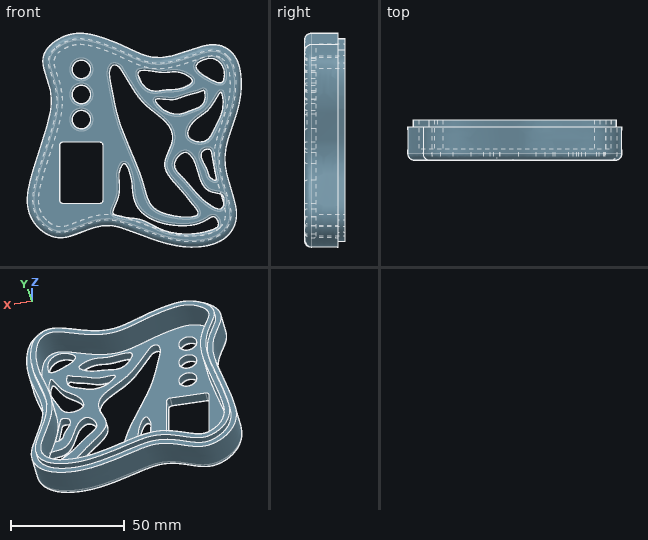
import cadquery as cq

total_depth = 17.8
lip_height = 3.0
body_depth = total_depth - lip_height
plate_thickness = 5.0
wall_thickness = 4.9
lip_inset = wall_thickness / 2
front_edge_radius = 3.0
opening_edge_radius = 1.0

inset_point_count = 60

column_x = -23.2
hole_diameter = 8.0
hole_pitch = 11.0
middle_hole_z = 20.1
window_width = 19.0
window_height = 27.0
window_corner_radius = 1.5
window_center_z = -14.3

case_outline = [
    (-12.55, 44.7), (-1.4, 40.0), (7.6, 36.6), (25.8, 40.0), (34.4, 42.1), (38.2, 41.6), (44.1, 37.4),
    (47.1, 28.1), (45.7, 13.5), (40.0, -7.6), (42.9, -22.4), (44.8, -35.6), (41.8, -41.4),
    (27.55, -47.1), (-3.1, -39.4), (-9.8, -37.6), (-18.5, -38.8), (-33.8, -42.9), (-44.0, -36.4),
    (-47.0, -28.4), (-45.8, -17.7), (-38.8, 4.7), (-36.9, 21.9), (-40.0, 36.7), (-26.7, 46.9),
]

central_opening = [
    (-6.0, 31.5), (-3.2, 26.9), (4.7, 15.8), (16.8, 2.55), (16.8, -0.1), (13.4, -10.6),
    (22.0, -23.5), (24.15, -26.3), (28.0, -32.55), (21.2, -33.8), (17.6, -33.3), (8.5, -29.6),
    (4.2, -19.7), (-7.2, 10.4), (-10.6, 26.8), (-10.85, 29.6), (-9.1, 33),
]
top_corner_opening = [
    (35.7, 35.6), (38.6, 33.1), (39.7, 28.8), (39.0, 25.8), (32.9, 27.1), (27.4, 32.9), (32.6, 35.9),
]
upper_slot = [
    (2.9, 30.6), (5.1, 30.7), (14.0, 29.7), (16.6, 30.0), (24.15, 27.9), (25.6, 26.4),
    (21.7, 23.1), (13.9, 22.2), (5.1, 23.1),
]
second_slot = [
    (31.0, 21.3), (28.2, 14.3), (25.4, 13.3), (20.1, 11.5), (15.85, 12.0), (12.8, 13.4),
    (9.4, 17.6), (17.7, 17.8), (19.6, 18.4), (26.5, 20.6), (29.2, 21.4),
]
side_opening = [
    (38.5, 20.8), (38.9, 13.4), (35.3, 4.9), (31.0, -0.5), (23.9, 1.8), (24.6, 6.1),
    (30.85, 11.8), (36.2, 18.5),
]
small_side_opening = [
    (32.3, -4.0), (33.7, -4.4), (34.15, -6.0), (35.9, -15.9), (36.0, -17.5), (33.2, -16.1),
    (32.55, -14.15), (29.7, -5.7),
]
diagonal_opening = [
    (23.7, -5.8), (25.6, -7.6), (27.5, -12.2), (34.1, -22.8), (39.15, -24.5), (39.6, -26.8),
    (38.7, -29.8), (31.6, -27.3), (21.5, -16.5), (17.8, -10.2),
]
bottom_opening = [
    (-5.9, -12.3), (-4.6, -10.4), (-1.2, -17.2), (-0.8, -22.4), (0.9, -28.6), (20.7, -37.7), (32.55, -34.7),
    (35.0, -33.7), (37.0, -37.6), (34.6, -39.3), (30.7, -40.5), (11.3, -39.0), (2.8, -34.9),
    (-6.9, -33.4), (-9.2, -32.1), (-8.7, -29.5), (-6.5, -23.1), (-6.6, -16.4),
]
opening_outlines = [
    central_opening, top_corner_opening, upper_slot, second_slot,
    side_opening, small_side_opening, diagonal_opening, bottom_opening,
]


def closed_curve(points, y=0):
    return cq.Workplane("XZ", origin=(0, y, 0)).spline(points, periodic=True).close()


def inset_points(distance):
    """Evenly spread points on the curve that runs a distance inside the case outline."""
    outline = closed_curve(case_outline).val()
    points = []
    for index in range(inset_point_count):
        place = index / inset_point_count
        position = outline.positionAt(place)
        heading = outline.tangentAt(place)
        points.append((position.x + distance * heading.z, position.z - distance * heading.x))
    return points


def round_front_openings(body):
    """Round the front edge of every opening, leaving the outer edge of the front face alone."""
    front_face = body.faces("<Y").val()
    opening_edges = [edge for wire in front_face.innerWires() for edge in wire.Edges()]
    return body.newObject(opening_edges).fillet(opening_edge_radius)


def hollow_back(body):
    """Add the stepped-in lip at the back and clear the cavity behind the front plate."""
    cavity_depth = total_depth - plate_thickness
    lip = closed_curve(inset_points(lip_inset), body_depth).extrude(-lip_height)
    cavity = closed_curve(inset_points(wall_thickness), plate_thickness).extrude(-cavity_depth)
    return body.union(lip).cut(cavity)


def window_cutter():
    return (
        cq.Workplane("XZ")
        .center(column_x, window_center_z)
        .rect(window_width, window_height)
        .extrude(-plate_thickness)
        .edges("|Y")
        .fillet(window_corner_radius)
    )


def round_hole(center_z):
    return (
        cq.Workplane("XZ")
        .center(column_x, center_z)
        .circle(hole_diameter / 2)
        .extrude(-plate_thickness)
    )


holes = [round_hole(middle_hole_z + step * hole_pitch) for step in (-1, 0, 1)]
openwork = [closed_curve(outline).extrude(-plate_thickness) for outline in opening_outlines]

case = closed_curve(case_outline).extrude(-body_depth)
case = case.faces("<Y").edges().fillet(front_edge_radius)
for opening in holes + openwork:
    case = case.cut(opening)
case = round_front_openings(case)
case = hollow_back(case)
result = case.cut(window_cutter())